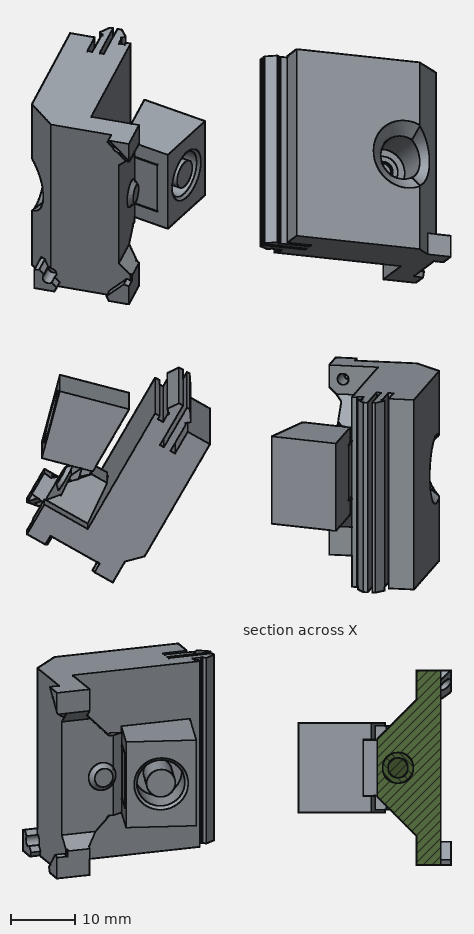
import cadquery as cq
import math

HEIGHT = 30.4
MID_Z = HEIGHT / 2
BASE_WIDTH = 17.7
BASE_FRONT = 1.58
BASE_BACK = 5.45
ARM_WIDTH = 9.88
ARM_END = 26.6
CORNER_CHAMFER = 4.5
JOINT_GAP = 0.12

HOOK_END = 29.85
SLOT_FLOOR = 22.6
LEG_LEFT = 4.83
LEG_RIGHT = 8.1
OUTER_SLOT_WIDTH = 0.82
MIDDLE_SLOT_LEFT = 6.02
MIDDLE_SLOT_RIGHT = 6.72
RELIEF_WIDTH = 0.95
RELIEF_FLOOR = 26.0
BARB_REACH = 0.5
BARB_Y = 28.15
BARB_BASE = 27.72
NECK_BOTTOM = 27.45
NECK_DEPTH = 0.15
TIP_INSET = 0.67

NOTCH_X = 15.55
NOTCH_BOTTOM = 6.32
NOTCH_TOP = 24.85
NOTCH_FLARE = 2.0
FRONT_STEP = 0.25

RIDGE_CREST_Y = 11.55
RIDGE_HALF_FOOT = 10.6
RIDGE_CUT_X = 12.67
RIDGE_CUT_Y = 8.95
LIP_HALF_HEIGHT = 6.53
LIP_SHOULDER_Y = 10.12
LIP_BEVEL_Y = 9.45
RIDGE_CUT_SLOPE = (RIDGE_CUT_Y - RIDGE_CREST_Y) / (NOTCH_X - RIDGE_CUT_X)

LUG_REACH = 3.68
LUG_TRIM_REACH = 3.43
LUG_FOOT_REACH = 3.28
LUG_TRIM_SIDE = 0.82
LEFT_LUG_X = 2.25
TOP_LUG_LEG = 5.47
TOP_LUG_TRIM_SIDE = 0.97
TOP_LUG_TRIM_REACH = 3.35
TOP_LUG_LEFT_DROP = 1.5
TOP_LUG_FRONT_DEPTH = 2.28
PIN_HOLE_DIAMETER = 1.75
LEFT_HOLE_X = 4.5
LEFT_HOLE_Z = 2.28
LEFT_HOLE_DEPTH = 3.05
TOP_HOLE_X = 15.47
TOP_HOLE_Z = 28.2

BORE_Y = 8.3
BORE_DIAMETER = 7.0
BORE_CHAMFER = 1.98
SLEEVE_OUTER = 4.7
SLEEVE_END = 13.37
PIN_DIAMETER = 3.0
PIN_NOSE_DIAMETER = 2.35
PIN_HEAD_DIAMETER = 4.5

TILT = math.radians(15)
BLOCK_CORNER = (20.9, 10.3)
BLOCK_DEPTH = 11.0
BLOCK_HEIGHT = 14.0
BLOCK_LEFT = 12.95
SOCKET_DIAMETER = 7.5
SOCKET_CHAMFER = 0.5
SOCKET_DEPTH = 6.08
ROD_DIAMETER = 4.5
ROD_FACE_DEPTH = 0.33

INSERT_HEIGHT = 8.65
INSERT_DEPTH = 1.22
INSERT_EDGE = 1.95
FOOT_EDGE = 6.55


def prism_z(points, bottom=0.0, top=HEIGHT):
    """Extrude an XY outline between two heights."""
    return cq.Workplane("XY").workplane(offset=bottom).polyline(points).close().extrude(top - bottom)


def prism_y(points, y_start, y_end):
    """Extrude an XZ outline between two Y positions."""
    return cq.Workplane("XZ", origin=(0, y_start, 0)).polyline(points).close().extrude(y_start - y_end)


def centred_prism(points, height):
    """Extrude an XY outline to a height centred on the middle of the part."""
    return prism_z(points, MID_Z - height / 2, MID_Z + height / 2)


def cylinder_x(diameter, x_start, x_end):
    """Cylinder on the bore axis."""
    return cq.Workplane("YZ", origin=(x_start, BORE_Y, MID_Z)).circle(diameter / 2).extrude(x_end - x_start)


def cylinder_y(x, z, diameter, y_end):
    """Cylinder along Y that starts at the front of the lugs."""
    return cq.Workplane("XZ", origin=(x, 0, z)).circle(diameter / 2).extrude(-y_end)


def tilted(along, inward):
    """XY point at a distance along the block front from its corner, and inward from that front."""
    x = BLOCK_CORNER[0] - along * math.cos(TILT) + inward * math.sin(TILT)
    y = BLOCK_CORNER[1] + along * math.sin(TILT) + inward * math.cos(TILT)
    return (x, y)


SOCKET_CENTRE = cq.Vector(*tilted(0, BLOCK_DEPTH / 2), MID_Z)
SOCKET_AXIS = cq.Vector(-math.cos(TILT), math.sin(TILT), 0)


def along_at_left(inward):
    """Distance along the block at which its -X cut is reached."""
    return (BLOCK_CORNER[0] + inward * math.sin(TILT) - BLOCK_LEFT) / math.cos(TILT)


def ridge_cut_y(x):
    """Y of the sloped corner of the ridge at a given X."""
    return RIDGE_CREST_Y + RIDGE_CUT_SLOPE * (x - RIDGE_CUT_X)


def foot_corner():
    """Point where the side of the foot meets the sloped corner of the ridge."""
    start_x, start_y = tilted(FOOT_EDGE, 0)
    drop = (start_y - ridge_cut_y(start_x)) / (math.cos(TILT) - RIDGE_CUT_SLOPE * math.sin(TILT))
    return tilted(FOOT_EDGE, -drop)


def make_profile():
    """Base and arm with the snap hook, full height."""
    neck_left = LEG_LEFT + NECK_DEPTH
    neck_right = LEG_RIGHT - NECK_DEPTH
    return prism_z([
        (0, BASE_FRONT + CORNER_CHAMFER),
        (CORNER_CHAMFER, BASE_FRONT),
        (BASE_WIDTH, BASE_FRONT),
        (BASE_WIDTH, BASE_BACK),
        (ARM_WIDTH, BASE_BACK),
        (ARM_WIDTH, ARM_END),
        (LEG_RIGHT + RELIEF_WIDTH, ARM_END),
        (LEG_RIGHT + RELIEF_WIDTH, RELIEF_FLOOR),
        (LEG_RIGHT, RELIEF_FLOOR),
        (LEG_RIGHT, NECK_BOTTOM),
        (neck_right, NECK_BOTTOM),
        (neck_right, BARB_BASE),
        (LEG_RIGHT, BARB_BASE),
        (LEG_RIGHT + BARB_REACH, BARB_Y),
        (LEG_RIGHT - TIP_INSET, HOOK_END),
        (MIDDLE_SLOT_RIGHT, HOOK_END),
        (MIDDLE_SLOT_RIGHT, SLOT_FLOOR),
        (MIDDLE_SLOT_LEFT, SLOT_FLOOR),
        (MIDDLE_SLOT_LEFT, HOOK_END),
        (LEG_LEFT + TIP_INSET, HOOK_END),
        (LEG_LEFT - BARB_REACH, BARB_Y),
        (LEG_LEFT, BARB_BASE),
        (neck_left, BARB_BASE),
        (neck_left, NECK_BOTTOM),
        (LEG_LEFT, NECK_BOTTOM),
        (LEG_LEFT, SLOT_FLOOR),
        (LEG_LEFT - OUTER_SLOT_WIDTH, SLOT_FLOOR),
        (LEG_LEFT - OUTER_SLOT_WIDTH, ARM_END),
        (0, ARM_END),
    ])


def make_ridge():
    """Ridge between arm and notch, with a sloped corner towards the block."""
    rise = RIDGE_CREST_Y - BASE_BACK
    flanks = (
        cq.Workplane("YZ", origin=(ARM_WIDTH, 0, 0))
        .polyline([
            (BASE_BACK, MID_Z - RIDGE_HALF_FOOT),
            (RIDGE_CREST_Y, MID_Z - RIDGE_HALF_FOOT + rise),
            (RIDGE_CREST_Y, MID_Z + RIDGE_HALF_FOOT - rise),
            (BASE_BACK, MID_Z + RIDGE_HALF_FOOT),
        ])
        .close()
        .extrude(BASE_WIDTH - ARM_WIDTH)
    )
    plan = prism_z([
        (ARM_WIDTH, BASE_BACK),
        (BASE_WIDTH, BASE_BACK),
        (BASE_WIDTH, ridge_cut_y(BASE_WIDTH)),
        (RIDGE_CUT_X, RIDGE_CREST_Y),
        (ARM_WIDTH, RIDGE_CREST_Y),
    ])
    return flanks.intersect(plan)


def make_lip():
    """Pointed lip on the ridge corner, a small gap away from the foot, bevelled at 45 degrees."""
    corner_x = foot_corner()[0] + JOINT_GAP
    tip_x, tip_y = tilted(FOOT_EDGE - JOINT_GAP, -JOINT_GAP)
    bevel = LIP_BEVEL_Y - RIDGE_CUT_Y
    plan = prism_z([
        (corner_x, ridge_cut_y(corner_x)),
        (NOTCH_X, RIDGE_CUT_Y),
        (NOTCH_X, LIP_SHOULDER_Y),
        tilted(FOOT_EDGE - 2 * JOINT_GAP, -JOINT_GAP),
        (tip_x, tip_y),
    ])
    side = (
        cq.Workplane("YZ", origin=(ARM_WIDTH, 0, 0))
        .polyline([
            (RIDGE_CUT_Y, MID_Z - LIP_HALF_HEIGHT - bevel),
            (LIP_BEVEL_Y, MID_Z - LIP_HALF_HEIGHT),
            (tip_y, MID_Z - LIP_HALF_HEIGHT),
            (tip_y, MID_Z + LIP_HALF_HEIGHT),
            (LIP_BEVEL_Y, MID_Z + LIP_HALF_HEIGHT),
            (RIDGE_CUT_Y, MID_Z + LIP_HALF_HEIGHT + bevel),
        ])
        .close()
        .extrude(BASE_WIDTH - ARM_WIDTH)
    )
    return plan.intersect(side)


def make_notch():
    """Flared notch through the base and the ridge side."""
    return prism_y([
        (NOTCH_X, NOTCH_BOTTOM),
        (NOTCH_X, NOTCH_TOP),
        (BASE_WIDTH, NOTCH_TOP + NOTCH_FLARE),
        (BASE_WIDTH, NOTCH_BOTTOM - NOTCH_FLARE),
    ], 0, RIDGE_CREST_Y)


def make_front_step():
    """Small step in the front edge of the base, between the right lug and the notch."""
    step = cq.Workplane("XY").box(FRONT_STEP, FRONT_STEP, NOTCH_BOTTOM - LUG_TRIM_REACH, centered=False)
    return step.translate((BASE_WIDTH - FRONT_STEP, BASE_FRONT, LUG_TRIM_REACH))


def make_lower_lug(corner_x, direction, y_end):
    """Triangular lug with trimmed ends, standing in a bottom corner."""
    offsets = [
        (0, 0),
        (0, LUG_TRIM_REACH),
        (LUG_TRIM_SIDE, LUG_REACH),
        (LUG_REACH, LUG_TRIM_SIDE),
        (LUG_FOOT_REACH, 0),
    ]
    return prism_y([(corner_x + direction * x, z) for x, z in offsets], 0, y_end)


def make_top_lug():
    """Lug in the top corner, its inner face sloped back at 45 degrees."""
    outline = prism_y([
        (BASE_WIDTH, HEIGHT),
        (BASE_WIDTH - TOP_LUG_TRIM_REACH, HEIGHT),
        (BASE_WIDTH - TOP_LUG_LEG + TOP_LUG_LEFT_DROP, HEIGHT - TOP_LUG_LEFT_DROP),
        (BASE_WIDTH - TOP_LUG_TRIM_SIDE, HEIGHT - TOP_LUG_LEG + TOP_LUG_TRIM_SIDE),
        (BASE_WIDTH, NOTCH_TOP + NOTCH_FLARE),
    ], 0, BASE_FRONT)
    diagonal = cq.Plane(origin=(BASE_WIDTH, 0, HEIGHT), xDir=(-1, 0, -1), normal=(1, 0, -1))
    wedge = (
        cq.Workplane(diagonal)
        .polyline([
            (0, 0),
            (TOP_LUG_FRONT_DEPTH, 0),
            (TOP_LUG_FRONT_DEPTH + BASE_FRONT, BASE_FRONT),
            (0, BASE_FRONT),
        ])
        .close()
        .extrude(TOP_LUG_LEG, both=True)
    )
    return outline.intersect(wedge)


def cut_bore(body):
    """Bore through the arm, its mouth chamfered on the side face and on the corner chamfer."""
    radius = BORE_DIAMETER / 2
    body = body.cut(cylinder_x(BORE_DIAMETER, 0, ARM_WIDTH))
    body = body.edges("%ELLIPSE").chamfer(BORE_CHAMFER)
    axis_start = cq.Vector(0, BORE_Y, MID_Z)
    mouth = cq.Solid.makeCone(radius + BORE_CHAMFER, radius, BORE_CHAMFER, axis_start, cq.Vector(1, 0, 0))
    return body.cut(cq.Workplane(mouth))


def make_housing():
    """L-shaped housing with ridge, lip, notch, lugs and holes."""
    body = cut_bore(make_profile())
    body = body.union(make_ridge()).union(make_lip()).cut(make_notch())
    body = body.union(make_lower_lug(LEFT_LUG_X, 1, BASE_FRONT + CORNER_CHAMFER - LEFT_LUG_X))
    body = body.union(make_lower_lug(BASE_WIDTH, -1, BASE_FRONT)).union(make_top_lug())
    body = body.cut(cylinder_y(LEFT_HOLE_X, LEFT_HOLE_Z, PIN_HOLE_DIAMETER, LEFT_HOLE_DEPTH))
    body = body.cut(cylinder_y(TOP_HOLE_X, TOP_HOLE_Z, PIN_HOLE_DIAMETER, BASE_BACK))
    body = body.cut(make_front_step())
    body = body.cut(cylinder_x(SLEEVE_OUTER, ARM_WIDTH, SLEEVE_END))
    return body.cut(cylinder_x(PIN_DIAMETER, SLEEVE_END, NOTCH_X))


def make_sleeve():
    """Sleeve in the ridge, around the pin."""
    outside = cylinder_x(SLEEVE_OUTER, ARM_WIDTH, SLEEVE_END)
    return outside.cut(cylinder_x(PIN_DIAMETER, ARM_WIDTH, SLEEVE_END))


def make_pin():
    """Shank with a chamfered nose, and a tapered head against the end of the ridge."""
    nose_chamfer = (PIN_DIAMETER - PIN_NOSE_DIAMETER) / 2
    head_length = (PIN_HEAD_DIAMETER - PIN_DIAMETER) / 2
    shank = cylinder_x(PIN_DIAMETER, ARM_WIDTH, NOTCH_X).faces("<X").chamfer(nose_chamfer)
    head = cq.Solid.makeCone(
        PIN_HEAD_DIAMETER / 2,
        PIN_DIAMETER / 2,
        head_length,
        cq.Vector(NOTCH_X, BORE_Y, MID_Z),
        cq.Vector(1, 0, 0),
    )
    return shank.union(cq.Workplane(head))


def socket_cylinder(diameter, depth_start, depth_end):
    """Cylinder on the socket axis, between two depths below the +X face of the block."""
    start = SOCKET_CENTRE + SOCKET_AXIS * depth_start
    cylinder = cq.Solid.makeCylinder(diameter / 2, depth_end - depth_start, start, SOCKET_AXIS)
    return cq.Workplane(cylinder)


def make_socket():
    """Round socket in the +X face of the block, with a chamfered mouth."""
    radius = SOCKET_DIAMETER / 2
    mouth = cq.Solid.makeCone(radius + SOCKET_CHAMFER, radius, SOCKET_CHAMFER, SOCKET_CENTRE, SOCKET_AXIS)
    return socket_cylinder(SOCKET_DIAMETER, 0, SOCKET_DEPTH).union(cq.Workplane(mouth))


def make_block():
    """Tilted block with a pocket for the insert and a socket for the rod."""
    body = centred_prism([
        tilted(0, 0),
        tilted(0, BLOCK_DEPTH),
        tilted(along_at_left(BLOCK_DEPTH), BLOCK_DEPTH),
        tilted(along_at_left(0), 0),
    ], BLOCK_HEIGHT)
    pocket = centred_prism([
        tilted(INSERT_EDGE, 0),
        tilted(INSERT_EDGE, INSERT_DEPTH),
        tilted(along_at_left(INSERT_DEPTH), INSERT_DEPTH),
        tilted(along_at_left(0), 0),
    ], INSERT_HEIGHT + 2 * JOINT_GAP)
    return body.cut(pocket).cut(make_socket())


def make_rod():
    """Rod that stands on the floor of the socket."""
    return socket_cylinder(ROD_DIAMETER, ROD_FACE_DEPTH, SOCKET_DEPTH)


def make_insert():
    """Insert that fills the pocket, with a foot down to the ridge."""
    return centred_prism([
        tilted(INSERT_EDGE, 0),
        tilted(INSERT_EDGE, INSERT_DEPTH),
        tilted(along_at_left(INSERT_DEPTH), INSERT_DEPTH),
        (BLOCK_LEFT, ridge_cut_y(BLOCK_LEFT)),
        foot_corner(),
        tilted(FOOT_EDGE, 0),
    ], INSERT_HEIGHT)


housing = make_housing()
sleeve = make_sleeve()
pin = make_pin()
block = make_block()
rod = make_rod()
insert = make_insert()

result = cq.Compound.makeCompound([
    housing.val(),
    sleeve.val(),
    pin.val(),
    block.val(),
    rod.val(),
    insert.val(),
])